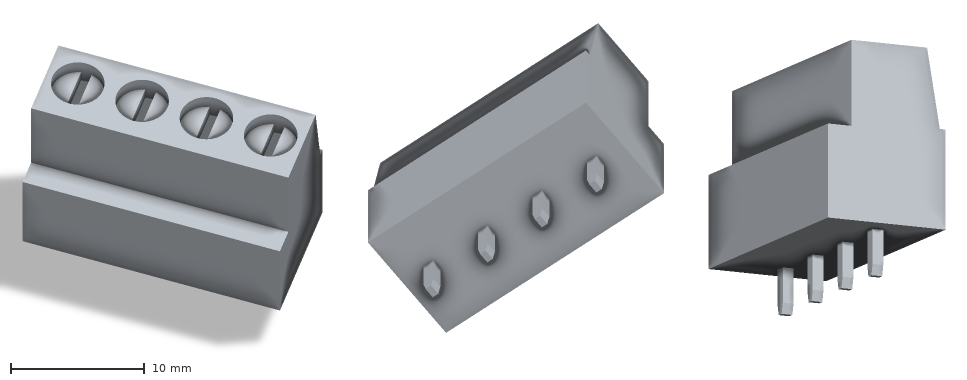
import cadquery as cq

POLE_COUNT = 4
LENGTH = 20.32
PITCH = LENGTH / POLE_COUNT
END_WIDTH = PITCH / 2

DEPTH = 9.8
HEIGHT = 13.78
FRONT_STEP_DEPTH = 1.95
FRONT_STEP_HEIGHT = 7.2
BACK_STEP_DEPTH = 0.49
BACK_STEP_HEIGHT = 7.66
TOP_BACK_SETBACK = 1.55

SCREW_Y = 5.3
RECESS_DIAMETER = 4.0
RECESS_DEPTH = 1.18
SLOT_WIDTH = 0.83
SLOT_DEPTH = 1.0

TOTAL_HEIGHT = 17.3
PIN_LENGTH = TOTAL_HEIGHT - HEIGHT
PIN_Y = 5.18
PIN_WIDTH = 0.9
PIN_THICKNESS = 0.9
PIN_TIP_WIDTH = 0.5
PIN_TAPER_LENGTH = 0.83

POLE_POSITIONS = [(index + 0.5) * PITCH for index in range(POLE_COUNT)]


def make_housing():
    """Stepped profile extruded over the full length."""
    return (
        cq.Workplane("YZ")
        .moveTo(0, 0)
        .lineTo(DEPTH, 0)
        .lineTo(DEPTH, BACK_STEP_HEIGHT)
        .lineTo(DEPTH - BACK_STEP_DEPTH, BACK_STEP_HEIGHT)
        .lineTo(DEPTH - TOP_BACK_SETBACK, HEIGHT)
        .lineTo(FRONT_STEP_DEPTH, HEIGHT)
        .lineTo(FRONT_STEP_DEPTH, FRONT_STEP_HEIGHT)
        .lineTo(0, FRONT_STEP_HEIGHT)
        .close()
        .extrude(LENGTH)
    )


def make_screw_recess(pole_x):
    """Round recess plus the driver slot, which ends at the recess wall."""
    recess_floor = HEIGHT - RECESS_DEPTH
    recess = (
        cq.Workplane("XY", origin=(pole_x, SCREW_Y, recess_floor))
        .circle(RECESS_DIAMETER / 2)
        .extrude(RECESS_DEPTH)
    )
    slot_plane = cq.Workplane("XY", origin=(pole_x, SCREW_Y, recess_floor - SLOT_DEPTH))
    slot_bar = slot_plane.rect(SLOT_WIDTH, RECESS_DIAMETER).extrude(SLOT_DEPTH)
    slot_limit = slot_plane.circle(RECESS_DIAMETER / 2).extrude(SLOT_DEPTH)
    return recess.union(slot_bar.intersect(slot_limit))


def make_pin(pole_x):
    """Square pin whose end tapers in width only."""
    taper_z = PIN_TAPER_LENGTH - PIN_LENGTH
    return (
        cq.Workplane("XZ", origin=(pole_x, PIN_Y, 0))
        .moveTo(-PIN_WIDTH / 2, 0)
        .lineTo(-PIN_WIDTH / 2, taper_z)
        .lineTo(-PIN_TIP_WIDTH / 2, -PIN_LENGTH)
        .lineTo(PIN_TIP_WIDTH / 2, -PIN_LENGTH)
        .lineTo(PIN_WIDTH / 2, taper_z)
        .lineTo(PIN_WIDTH / 2, 0)
        .close()
        .extrude(PIN_THICKNESS / 2, both=True)
    )


def make_terminal_row():
    """Shape of the whole row, before it is divided into blocks."""
    row = make_housing()
    for pole_x in POLE_POSITIONS:
        row = row.cut(make_screw_recess(pole_x))
        row = row.union(make_pin(pole_x))
    return row


def cut_block(row, start_x, width):
    """Part of the row between two planes across X."""
    slab = (
        cq.Workplane("XY", origin=(start_x, 0, -PIN_LENGTH))
        .box(width, DEPTH, TOTAL_HEIGHT, centered=False)
    )
    return row.intersect(slab)


terminal_row = make_terminal_row()

middle_block = cut_block(terminal_row, END_WIDTH, LENGTH - 2 * END_WIDTH)

end_blocks = [
    cut_block(terminal_row, start_x, END_WIDTH)
    for start_x in (0, LENGTH - END_WIDTH)
]

result = cq.Compound.makeCompound([
    middle_block.val(),
    *[block.val() for block in end_blocks],
])